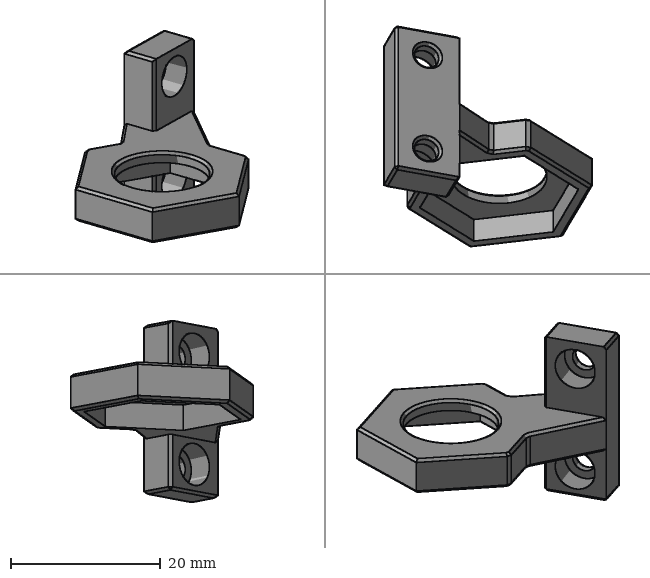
import cadquery as cq
import math

chamfer = 0.4

hex_across_flats = 22.0
plate_thickness = 5.0
bore_diameter = 12.75

nut_across_flats = 18.75
nut_seat_thickness = 1.55

overall_width = 26.2
overall_length = 30.0
block_width = 5.0
block_length = 9.0
block_height = 23.0
block_drop = 7.5

screw_hole_diameter = 3.4
screw_hole_spacing = 15.0
screw_hole_end_margin = 4.0
screw_head_diameter = 5.7
screw_seat_thickness = 1.6

notch_y = 4.5

apothem = hex_across_flats / 2
hex_radius = apothem / math.cos(math.radians(30))
block_left = hex_radius - overall_width
block_right = block_left + block_width
block_back = overall_length - apothem
block_front = block_back - block_length
block_middle_y = block_back - block_length / 2


def bevel_upright_edges(solid, corners, height):
    """Bevel the vertical edges of a solid that stand at the given XY corners."""
    for x, y in corners:
        edge = cq.selectors.NearestToPointSelector((x, y, height))
        solid = solid.edges("|Z").edges(edge).chamfer(chamfer)
    return solid


def make_plate():
    """Hexagonal ring with an arm that reaches into the block."""
    hex_left = (-hex_radius, 0)
    hex_right = (hex_radius, 0)
    hex_back_right = (hex_radius / 2, apothem)
    hex_front_right = (hex_radius / 2, -apothem)
    hex_front_left = (-hex_radius / 2, -apothem)
    notch = (-hex_radius + notch_y / math.tan(math.radians(60)), notch_y)
    arm_back = (0, apothem)
    outline = [
        hex_left,
        hex_front_left,
        hex_front_right,
        hex_right,
        hex_back_right,
        arm_back,
        (block_right, block_back),
        (block_left, block_middle_y),
        (block_left, block_front),
        notch,
    ]
    plate = cq.Workplane("XY").polyline(outline).close().extrude(plate_thickness)
    beveled_corners = [hex_left, hex_back_right, arm_back, notch]
    plate = bevel_upright_edges(plate, beveled_corners, plate_thickness / 2)
    bore = cq.Workplane("XY").circle(bore_diameter / 2).extrude(plate_thickness)
    plate = plate.cut(bore).faces("<Z or >Z").edges().chamfer(chamfer)
    return plate.cut(make_nut_pocket())


def make_nut_pocket():
    """Cutter for the hexagonal pocket, aligned with the outer hexagon."""
    depth = plate_thickness - nut_seat_thickness
    corner_diameter = nut_across_flats / math.cos(math.radians(30))
    return cq.Workplane("XY").polygon(6, corner_diameter).extrude(depth)


def make_block():
    """Upright block with beveled edges; its top right edge stays sharp."""
    block = cq.Workplane("XY").box(block_width, block_length, block_height, centered=False)
    block = block.translate((block_left, block_front, -block_drop))
    left_back_upright = block.edges("|Z").edges("<X").edges(">Y")
    right_front_upright = block.edges("|Z").edges(">X").edges("<Y")
    bottom_edges = block.faces("<Z").edges()
    top_edges = block.faces(">Z").edges("<X or <Y or >Y")
    beveled_edges = left_back_upright.add(right_front_upright).add(bottom_edges).add(top_edges)
    return block.newObject(beveled_edges.vals()).chamfer(chamfer)


def make_screw_hole(z):
    """Cutter along X for one screw hole, flared at the left and counterbored from the right."""
    hole_radius = screw_hole_diameter / 2
    head_radius = screw_head_diameter / 2
    seat_x = block_left + screw_seat_thickness
    profile = [
        (block_left, 0),
        (block_left, hole_radius + chamfer),
        (block_left + chamfer, hole_radius),
        (seat_x, hole_radius),
        (seat_x, head_radius),
        (block_right, head_radius),
        (block_right, 0),
    ]
    cutter = cq.Workplane("XY").polyline(profile).close().revolve(360, (0, 0), (1, 0))
    return cutter.translate((0, block_middle_y, z))


result = make_plate().union(make_block())

lower_hole_z = -block_drop + screw_hole_end_margin
for hole_z in (lower_hole_z, lower_hole_z + screw_hole_spacing):
    result = result.cut(make_screw_hole(hole_z))